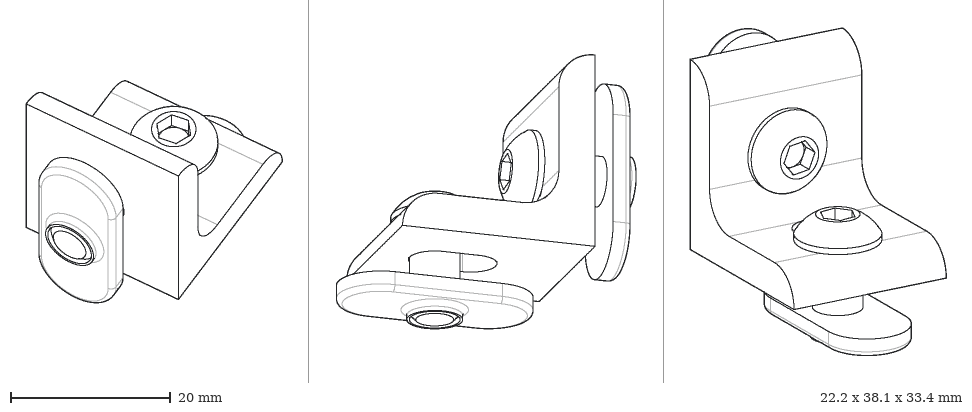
import cadquery as cq
import math


bracket_width = 22.2
leg_length = 25.4
leg_thickness = 4.75
slot_width = 6.55

shank_diameter = 6.35
head_diameter = 11.05
head_rim_height = 0.8
head_height = 3.35
head_flat_diameter = 5.55
hex_across_flats = 3.95
hex_depth = 2.2
hex_angle = -22.0
drill_point_angle = 120.0
tip_flat_diameter = 4.75
tip_chamfer_height = 0.8

plate_gap = 4.23
plate_length = leg_length
plate_width = 11.15
plate_thickness = 2.45
plate_edge_radius = 0.72
collar_diameter = 7.0
collar_height = 1.3
collar_fillet = 0.72

arc_mid_share = math.sqrt(0.5)

upright_screw_place = leg_length / 2
base_screw_place = 17.45
slot_inner_place = upright_screw_place

plate_top = -leg_thickness - plate_gap
plate_bottom = plate_top - plate_thickness
collar_end = plate_bottom - collar_height
screw_tip = collar_end


def make_screw():
    """Button head screw along Z, with its head seated at the origin."""
    rim_radius = head_diameter / 2
    flat_radius = head_flat_diameter / 2
    shank_radius = shank_diameter / 2

    dome_rise = head_height - head_rim_height
    center_drop = (rim_radius**2 - flat_radius**2 - dome_rise**2) / (2 * dome_rise)
    dome_radius = math.hypot(rim_radius, center_drop)
    mid_angle = (math.atan2(center_drop, rim_radius)
                 + math.atan2(center_drop + dome_rise, flat_radius)) / 2
    dome_middle = (dome_radius * math.cos(mid_angle),
                   head_rim_height - center_drop + dome_radius * math.sin(mid_angle))

    screw = (
        cq.Workplane("XZ")
        .moveTo(0, screw_tip)
        .lineTo(tip_flat_diameter / 2, screw_tip)
        .lineTo(shank_radius, screw_tip + tip_chamfer_height)
        .lineTo(shank_radius, 0)
        .lineTo(rim_radius, 0)
        .lineTo(rim_radius, head_rim_height)
        .threePointArc(dome_middle, (flat_radius, head_height))
        .lineTo(0, head_height)
        .close()
        .revolve(360, (0, 0, 0), (0, 1, 0))
    )
    return screw.cut(make_hex_socket())


def make_hex_socket():
    """Hexagonal socket that ends in a conical drill point."""
    floor = head_height - hex_depth
    drill_radius = hex_across_flats / 2
    point_depth = drill_radius / math.tan(math.radians(drill_point_angle / 2))
    hexagon = (
        cq.Workplane("XY")
        .workplane(offset=floor)
        .polygon(6, hex_across_flats, circumscribed=True)
        .extrude(hex_depth)
        .rotate((0, 0, 0), (0, 0, 1), hex_angle)
    )
    drill_point = cq.Workplane(
        cq.Solid.makeCone(drill_radius, 0, point_depth, cq.Vector(0, 0, floor), cq.Vector(0, 0, -1))
    )
    return hexagon.union(drill_point)


def make_nut_plate():
    """Oblong plate along Y with a bored collar below, in the frame of its screw."""
    plate = (
        cq.Workplane("XY")
        .workplane(offset=plate_bottom)
        .slot2D(plate_length, plate_width, 90)
        .extrude(plate_thickness)
        .faces("<Z")
        .edges()
        .fillet(plate_edge_radius)
    )
    collar_radius = collar_diameter / 2
    foot_radius = collar_radius + collar_fillet
    arc_offset = collar_fillet * arc_mid_share
    foot_middle = (foot_radius - arc_offset, plate_bottom - collar_fillet + arc_offset)
    collar = (
        cq.Workplane("XZ")
        .moveTo(0, plate_top)
        .lineTo(collar_radius, plate_top)
        .lineTo(collar_radius, plate_bottom)
        .lineTo(foot_radius, plate_bottom)
        .threePointArc(foot_middle, (collar_radius, plate_bottom - collar_fillet))
        .lineTo(collar_radius, collar_end)
        .lineTo(0, collar_end)
        .close()
        .revolve(360, (0, 0, 0), (0, 1, 0))
    )
    bore = (
        cq.Workplane("XY")
        .workplane(offset=collar_end)
        .circle(shank_diameter / 2)
        .extrude(plate_top - collar_end)
    )
    return plate.union(collar).cut(bore)


def on_base(body):
    """Place a body made in the screw frame on the horizontal leg."""
    return body.translate((0, base_screw_place, leg_thickness))


def on_upright(body):
    """Place a body made in the screw frame on the upright leg, head toward +Y."""
    turned = body.rotate((0, 0, 0), (1, 0, 0), -90)
    return turned.translate((0, leg_thickness, upright_screw_place))


def make_bracket():
    """L profile with rounded leg tips and inner corner, slotted and drilled."""
    round_offset = leg_thickness * arc_mid_share
    tip_center = leg_length - leg_thickness
    corner_center = 2 * leg_thickness
    corner_middle = corner_center - round_offset
    bracket = (
        cq.Workplane("YZ")
        .moveTo(0, 0)
        .lineTo(leg_length, 0)
        .threePointArc((tip_center + round_offset, round_offset), (tip_center, leg_thickness))
        .lineTo(corner_center, leg_thickness)
        .threePointArc((corner_middle, corner_middle), (leg_thickness, corner_center))
        .lineTo(leg_thickness, tip_center)
        .threePointArc((round_offset, tip_center + round_offset), (0, leg_length))
        .close()
        .extrude(bracket_width / 2, both=True)
    )
    slot_travel = base_screw_place - slot_inner_place
    slot = (
        cq.Workplane("XY")
        .center(0, (base_screw_place + slot_inner_place) / 2)
        .slot2D(slot_travel + slot_width, slot_width, 90)
        .extrude(leg_thickness)
    )
    hole = cq.Workplane("XY").circle(shank_diameter / 2).extrude(-leg_thickness)
    head_seat = cq.Workplane("XY").circle(head_diameter / 2).extrude(head_rim_height)
    return bracket.cut(slot).cut(on_upright(hole)).cut(on_upright(head_seat))


bracket = make_bracket()

screws = []
nut_plates = []
for place in (on_base, on_upright):
    screws.append(place(make_screw()))
    nut_plates.append(place(make_nut_plate()))

bodies = [bracket, *screws, *nut_plates]
result = cq.Compound.makeCompound([body.solids().val() for body in bodies])